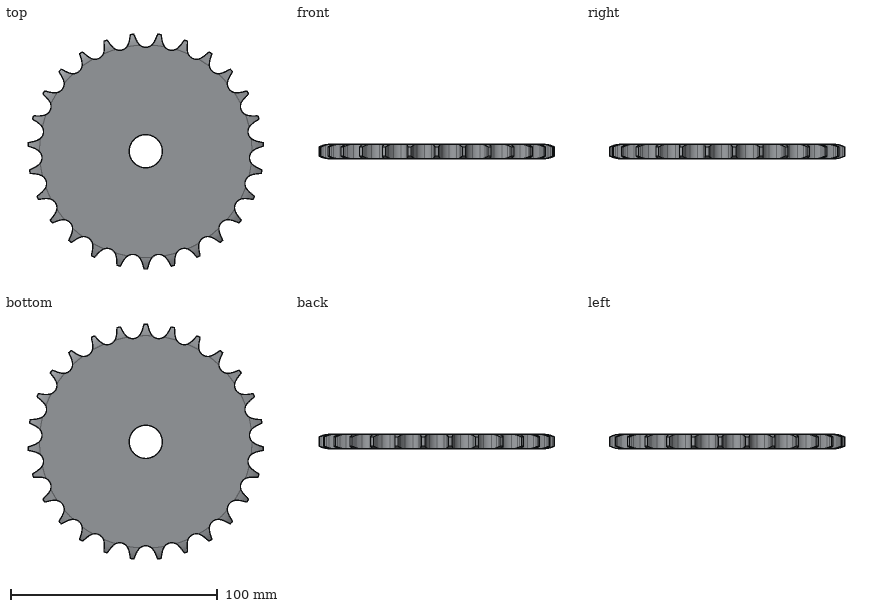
import cadquery as cq
import math


tooth_count = 27
tip_diameter = 114.0
pitch_diameter = 109.3
thickness = 7.2
bore_diameter = 16.0

taper_start_radius = 51.4
taper_depth = 1.4

seat_radius = 4.3
hollow_radius = 11.2
straight_length = 1.1
crest_radius = 7.0
seat_angle = 55 - 60 / tooth_count
hollow_angle = 18 - 56 / tooth_count
crest_angle = 15
gap_clearance = 3.4

tip_radius = tip_diameter / 2
pitch_radius = pitch_diameter / 2
half_thickness = thickness / 2
tooth_spacing = 360 / tooth_count


def step(point, heading, distance):
    """Move in a straight line; the heading is in degrees from +X."""
    angle = math.radians(heading)
    return (point[0] + distance * math.cos(angle), point[1] + distance * math.sin(angle))


def follow_arc(point, heading, radius, turn):
    """Middle and end points of a tangent arc; a positive turn bends to the left."""
    ends = []
    for swept in (turn / 2, turn):
        chord = 2 * radius * math.sin(math.radians(abs(swept) / 2))
        ends.append(step(point, heading + swept / 2, chord))
    return ends


def make_blank():
    """Disc whose rim thins towards the tip, revolved from its half section."""
    taper_length = tip_radius - taper_start_radius
    taper_radius = (taper_length**2 + taper_depth**2) / (2 * taper_depth)
    taper_angle = math.degrees(math.asin(taper_length / taper_radius))
    taper_middle, taper_end = follow_arc(
        (taper_start_radius, half_thickness), 0, taper_radius, -taper_angle
    )
    bore_radius = bore_diameter / 2
    return (
        cq.Workplane("XZ")
        .moveTo(bore_radius, -half_thickness)
        .lineTo(bore_radius, half_thickness)
        .lineTo(taper_start_radius, half_thickness)
        .threePointArc(taper_middle, taper_end)
        .lineTo(taper_end[0], -taper_end[1])
        .threePointArc((taper_middle[0], -taper_middle[1]), (taper_start_radius, -half_thickness))
        .close()
        .revolve(360, (0, 0, 0), (0, 1, 0))
    )


def make_half_gap():
    """Cutter for the right half of the tooth gap centred on +Y."""
    gap_bottom = (0, pitch_radius - seat_radius)
    gap_top = tip_radius + gap_clearance
    heading = 0
    seat_middle, seat_end = follow_arc(gap_bottom, heading, seat_radius, seat_angle)
    heading += seat_angle
    hollow_middle, hollow_end = follow_arc(seat_end, heading, hollow_radius, hollow_angle)
    heading += hollow_angle
    straight_end = step(hollow_end, heading, straight_length)
    crest_middle, crest_end = follow_arc(straight_end, heading, crest_radius, -crest_angle)
    return (
        cq.Workplane("XY")
        .workplane(offset=-half_thickness)
        .moveTo(*gap_bottom)
        .threePointArc(seat_middle, seat_end)
        .threePointArc(hollow_middle, hollow_end)
        .lineTo(*straight_end)
        .threePointArc(crest_middle, crest_end)
        .lineTo(crest_end[0], gap_top)
        .lineTo(0, gap_top)
        .close()
        .extrude(thickness)
    )


right_half_gap = make_half_gap()
left_half_gap = right_half_gap.mirror("YZ")

result = make_blank()
for gap_index in range(tooth_count):
    for half_gap in (right_half_gap, left_half_gap):
        turned_gap = half_gap.rotate((0, 0, 0), (0, 0, 1), gap_index * tooth_spacing)
        result = result.cut(turned_gap, clean=False)